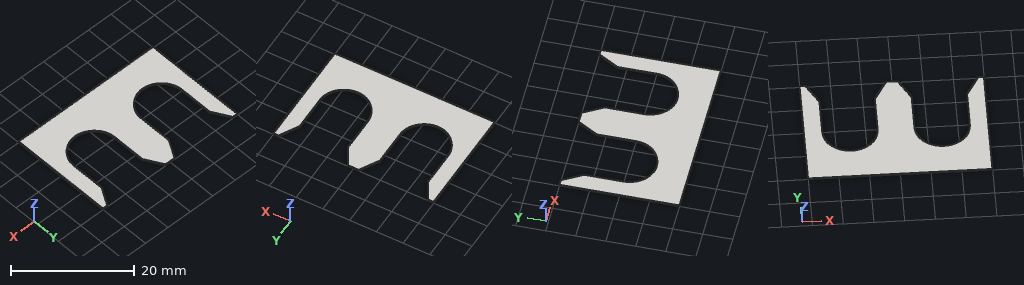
import cadquery as cq
import math

plate_width = 30.0
plate_depth = 20.0
plate_thickness = 0.25

slot_width = 9.0
slot_pitch = plate_width / 2
slot_center_y = 10.0

flare_offset = 2.0
flare_angle = 30.0
flare_depth = flare_offset / math.tan(math.radians(flare_angle))


def make_plate():
    """Rectangular plate, centered in X, with its -Y edge at Y = 0."""
    return cq.Workplane("XY").box(
        plate_width, plate_depth, plate_thickness, centered=(True, False, False)
    )


def make_slot(center_x):
    """Cutter for one slot: round bottom, straight sides and flared mouth."""
    radius = slot_width / 2
    left = center_x - radius
    right = center_x + radius
    flare_start_y = plate_depth - flare_depth
    return (
        cq.Workplane("XY")
        .moveTo(left - flare_offset, plate_depth)
        .lineTo(left, flare_start_y)
        .lineTo(left, slot_center_y)
        .threePointArc((center_x, slot_center_y - radius), (right, slot_center_y))
        .lineTo(right, flare_start_y)
        .lineTo(right + flare_offset, plate_depth)
        .close()
        .extrude(plate_thickness)
    )


result = make_plate()
for side in (-1, 1):
    result = result.cut(make_slot(side * slot_pitch / 2))